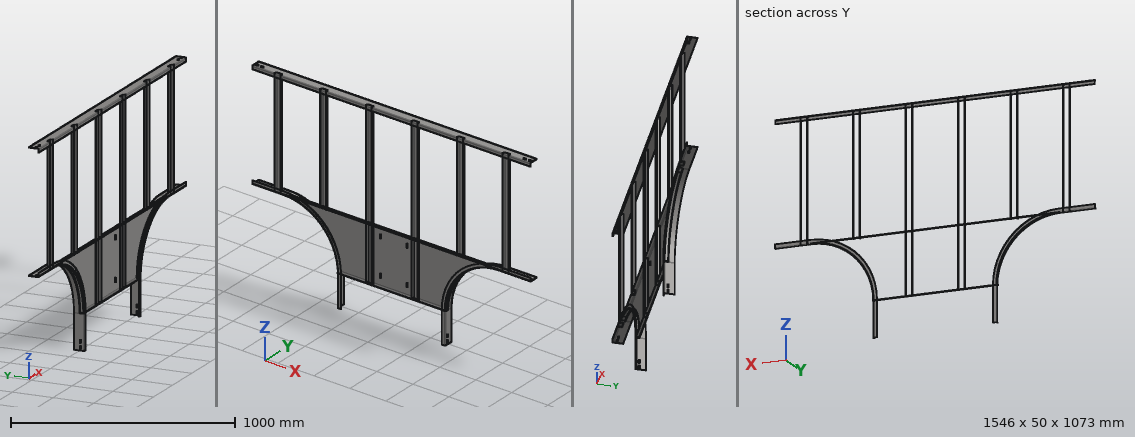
import cadquery as cq
import math

length = 1546.0
top_rail_length = 1545.0
depth = 50.0
ladder_width = 600.0
bend_radius = 300.0
leg_length = 173.0
sheet = 3.0
flange_height = 20.0
rail_fold_radius = 0.8

rung_width = 35.0
rung_depth = 15.0
rung_pitch = 254.0
rung_count = 6
channel_fold_radius = 2.3

plate_rise = 5.0
plate_overhang = 2.0
plate_slot_length = 22.0
plate_slot_width = 6.0
plate_slot_pitch_x = 148.0
plate_slot_pitch_z = 198.0

rail_slot_length = 15.0
rail_slot_width = 6.0
rail_slot_y = 19.0
rail_slot_offsets = (14.0, 43.0)

half_length = length / 2
leg_x = ladder_width / 2
bend_x = leg_x + bend_radius
bend_z = leg_length
lower_rail_z = bend_z + bend_radius
top_z = lower_rail_z + ladder_width
plate_top = lower_rail_z + plate_rise
plate_bottom = bend_z
plate_height = plate_top - plate_bottom
plate_middle_z = (plate_top + plate_bottom) / 2
rung_back = sheet + rung_depth
plate_back = rung_back + sheet


def rail_section(plane):
    """L outline with a rounded fold; local x runs along the flange, local y along the web."""
    outer_radius = rail_fold_radius + sheet
    to_arc_middle = 1 - math.sqrt(0.5)
    outer_middle = outer_radius * to_arc_middle
    inner_middle = sheet + rail_fold_radius * to_arc_middle
    return (
        cq.Workplane(plane)
        .moveTo(outer_radius, 0)
        .lineTo(flange_height, 0)
        .lineTo(flange_height, sheet)
        .lineTo(outer_radius, sheet)
        .threePointArc((inner_middle, inner_middle), (sheet, outer_radius))
        .lineTo(sheet, depth)
        .lineTo(0, depth)
        .lineTo(0, outer_radius)
        .threePointArc((outer_middle, outer_middle), (outer_radius, 0))
        .close()
    )


def top_rail():
    """Straight rail: web on top, flange hanging down at the front."""
    end = cq.Plane(origin=(-top_rail_length / 2, 0, top_z), xDir=(0, 0, -1), normal=(1, 0, 0))
    return rail_section(end).extrude(top_rail_length)


def side_rail():
    """Leg, quarter bend and lower rail on the +X side, flange toward the inside of the tee."""
    foot = cq.Plane(origin=(leg_x, 0, 0), xDir=(-1, 0, 0), normal=(0, 0, -1))
    path = (
        cq.Workplane("XZ")
        .moveTo(leg_x, 0)
        .lineTo(leg_x, bend_z)
        .radiusArc((bend_x, lower_rail_z), bend_radius)
        .lineTo(half_length, lower_rail_z)
    )
    return rail_section(foot).sweep(path)


def rail_end_slots():
    """Cutters for the slots at the free rail ends on the +X side."""
    through_horizontal_webs = (
        cq.Workplane("XY")
        .pushPoints([(half_length - offset, rail_slot_y) for offset in rail_slot_offsets])
        .slot2D(rail_slot_length, rail_slot_width)
        .extrude(top_z)
    )
    through_leg_web = (
        cq.Workplane("YZ")
        .pushPoints([(rail_slot_y, offset) for offset in rail_slot_offsets])
        .slot2D(rail_slot_length, rail_slot_width, 90)
        .extrude(half_length)
    )
    return through_horizontal_webs.union(through_leg_web)


def channel(width, back, run):
    """U section extruded up Z from 0; centred on X, from behind the rail flanges to `back`."""
    channel_depth = back - sheet
    outside = (
        cq.Workplane("XY", origin=(0, sheet + channel_depth / 2, 0))
        .rect(width, channel_depth)
        .extrude(run)
        .edges("|Z and >Y")
        .fillet(channel_fold_radius + sheet)
    )
    inside = (
        cq.Workplane("XY", origin=(0, sheet + (channel_depth - sheet) / 2, 0))
        .rect(width - 2 * sheet, channel_depth - sheet)
        .extrude(run)
        .edges("|Z and >Y")
        .fillet(channel_fold_radius)
    )
    return outside.cut(inside)


def rung(x, z_bottom):
    """Vertical channel ending flush with the top of the top rail."""
    return channel(rung_width, rung_back, top_z - z_bottom).translate((x, 0, z_bottom))


def plate():
    """Wide channel lying along X, slotted, with both ends trimmed by the bends."""
    body = (
        channel(plate_height, plate_back, 2 * bend_x)
        .rotate((0, 0, 0), (0, 1, 0), 90)
        .translate((-bend_x, 0, plate_middle_z))
    )
    trim = (
        cq.Workplane("XZ", origin=(bend_x, 0, bend_z))
        .circle(bend_radius - plate_overhang)
        .extrude(-depth)
    )
    slots = (
        cq.Workplane("XZ", origin=(0, 0, plate_middle_z))
        .rarray(plate_slot_pitch_x, plate_slot_pitch_z, 2, 2)
        .slot2D(plate_slot_length, plate_slot_width, 90)
        .extrude(-depth)
    )
    return body.cut(trim).cut(trim.mirror("YZ")).cut(slots)


right_rail = side_rail()
result = top_rail().union(right_rail).union(right_rail.mirror("YZ")).union(plate())

for index in range(rung_count):
    rung_x = (index - (rung_count - 1) / 2) * rung_pitch
    rung_bottom = plate_bottom if abs(rung_x) < leg_x else lower_rail_z
    result = result.union(rung(rung_x, rung_bottom), clean=False)

right_slots = rail_end_slots()
result = result.cut(right_slots, clean=False).cut(right_slots.mirror("YZ"), clean=False)